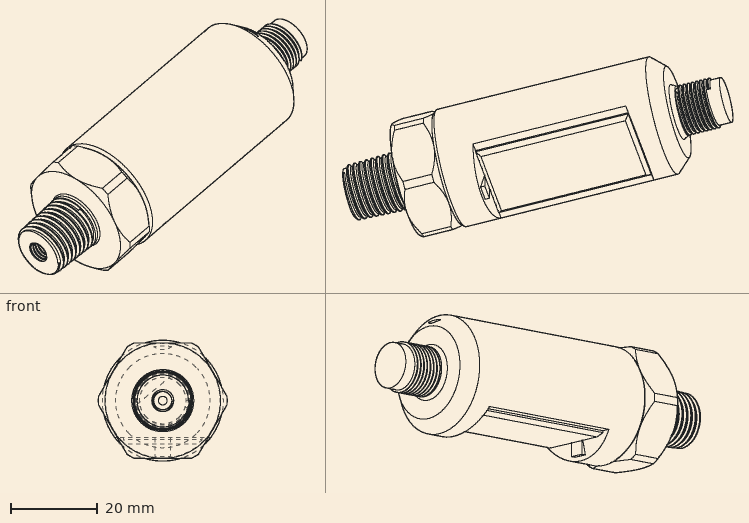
import cadquery as cq
import math


length = 90.8
hex_front = 13.7
hex_back = 23.8
body_front_chamfer = 0.7
cone_front = 75.6
cone_back = 79.0
flare_back = 80.2
collar_front = 88.7

body_radius = 14.0
body_edge_radius = body_radius - body_front_chamfer
cone_end_radius = 10.9
flare_front_radius = 6.5
flare_back_radius = 5.9
connector_radius = 5.4
hex_across_flats = 26.7
hex_corner_radius = 14.9
hex_chamfer = hex_corner_radius - hex_across_flats / 2

port_core_tip_radius = 5.9
port_core_base_radius = 6.4
port_ridge_height = 0.5
port_neck_length = 1.3
port_neck_radius = 6.9
port_thread_length = hex_front - port_neck_length
port_thread_span = 12.7
port_thread_turns = 9
port_pitch = port_thread_span / port_thread_turns
port_tip_chamfer = 0.4

port_collar_radius = 7.2
port_collar_length = 0.5

connector_ridge_height = 0.5
connector_pitch = 1.0

bore_radius = 2.1
bore_mouth_radius = 2.5
bore_depth = 9.1
bore_pitch = 0.8
bore_groove_depth = 0.45
bore_end_radius = 1.0
bore_point_angle = 118.0

recess_floor = 5.45
recess_front = 33.05
recess_back = 69.9
recess_wall_run = 1.3
pad_half_width = 9.1
pad_height = 1.45
pad_chamfer = 1.0
tab_width = 3.6
tab_bottom = 1.1

notch_radius = 3.5
notch_front = 77.1
notch_bottom = 11.8

ridge_half_base = 0.44
ridge_half_crest = 0.08

overlap = 0.2
no_taper = 360.0


def revolve_profile(points):
    """Turn (radius, y) points about the Y axis."""
    return cq.Workplane("XY").polyline(points).close().revolve(360, (0, 0, 0), (0, 1, 0))


def helical_ridge(start, run, pitch, root_radius, height, taper=no_taper):
    """V-shaped helical ridge along +Y, with its base sunk into the core by the overlap."""
    base_radius = root_radius - overlap
    crest_radius = root_radius + height
    half_base = ridge_half_base * pitch
    half_crest = ridge_half_crest * pitch
    path = cq.Wire.makeHelix(pitch, run, root_radius, angle=taper)
    profile = cq.Workplane("XZ").polyline([
        (base_radius, -half_base),
        (crest_radius, -half_crest),
        (crest_radius, half_crest),
        (base_radius, half_base),
    ]).close()
    ridge = profile.sweep(cq.Workplane(path), isFrenet=True)
    return ridge.rotate((0, 0, 0), (1, 0, 0), -90).translate((0, start, 0))


def make_body():
    return revolve_profile([
        (0, hex_back - overlap),
        (body_edge_radius, hex_back - overlap),
        (body_edge_radius, hex_back),
        (body_radius, hex_back + body_front_chamfer),
        (body_radius, cone_front),
        (cone_end_radius, cone_back),
        (0, cone_back),
    ])


def make_recess():
    floor_z = -body_radius + recess_floor
    cutter = (
        cq.Workplane("YZ")
        .polyline([
            (recess_front, floor_z),
            (recess_back, floor_z),
            (recess_back + recess_wall_run, -body_radius),
            (recess_front - recess_wall_run, -body_radius),
        ])
        .close()
        .extrude(body_radius, both=True)
    )
    recess_length = recess_back - recess_front
    pad = (
        cq.Workplane("XY")
        .box(2 * pad_half_width, recess_length, pad_height + overlap, centered=(True, False, False))
        .faces("<Z")
        .chamfer(pad_chamfer)
        .translate((0, recess_front, floor_z - pad_height))
    )
    tab_run = 2 * recess_wall_run
    tab = (
        cq.Workplane("XY")
        .box(tab_width, tab_run, recess_floor - tab_bottom + overlap, centered=(True, False, False))
        .translate((0, recess_front - tab_run, -body_radius + tab_bottom))
    )
    return cutter.cut(pad).cut(tab)


def make_notch():
    return (
        cq.Workplane("XZ", origin=(0, notch_front, notch_bottom + notch_radius))
        .circle(notch_radius)
        .extrude(notch_front - length)
    )


def make_hexagon():
    across_corners = hex_across_flats / math.cos(math.radians(30))
    prism = (
        cq.Workplane("XZ", origin=(0, hex_front, 0))
        .polygon(6, across_corners)
        .extrude(hex_front - hex_back)
    )
    envelope = revolve_profile([
        (0, hex_front),
        (hex_corner_radius - hex_chamfer, hex_front),
        (hex_corner_radius, hex_front + hex_chamfer),
        (hex_corner_radius, hex_back - hex_chamfer),
        (hex_corner_radius - hex_chamfer, hex_back),
        (0, hex_back),
    ])
    return prism.intersect(envelope)


def make_port():
    core = revolve_profile([
        (0, 0),
        (port_core_tip_radius, 0),
        (port_core_base_radius, port_thread_length),
        (port_neck_radius, port_thread_length),
        (port_neck_radius, hex_front + overlap),
        (0, hex_front + overlap),
    ])
    taper = math.degrees(math.atan((port_core_base_radius - port_core_tip_radius) / port_thread_length))
    ridge = helical_ridge(
        0, port_thread_length, port_pitch, port_core_tip_radius, port_ridge_height, taper
    )
    envelope = revolve_profile([
        (0, 0),
        (port_core_tip_radius + port_ridge_height - port_tip_chamfer, 0),
        (port_neck_radius, port_neck_radius - port_core_tip_radius),
        (port_neck_radius, hex_front + overlap),
        (0, hex_front + overlap),
    ])
    return core.union(ridge).intersect(envelope)


def make_port_collar():
    """Short cone that widens the port neck towards the hexagon."""
    return revolve_profile([
        (0, hex_front - port_collar_length),
        (port_neck_radius, hex_front - port_collar_length),
        (port_collar_radius, hex_front),
        (port_collar_radius, hex_front + overlap),
        (0, hex_front + overlap),
    ])


def make_connector():
    core = revolve_profile([
        (0, cone_back - overlap),
        (flare_front_radius, cone_back - overlap),
        (flare_front_radius, cone_back),
        (flare_back_radius, flare_back),
        (connector_radius, flare_back),
        (connector_radius, length),
        (0, length),
    ])
    run = collar_front - flare_back - connector_pitch / 2
    ridge = helical_ridge(flare_back, run, connector_pitch, connector_radius, connector_ridge_height)
    return core.union(ridge)


def make_bore():
    point_length = (bore_radius - bore_end_radius) / math.tan(math.radians(bore_point_angle / 2))
    drill = revolve_profile([
        (0, 0),
        (bore_mouth_radius, 0),
        (bore_radius, bore_mouth_radius - bore_radius),
        (bore_radius, bore_depth),
        (bore_end_radius, bore_depth + point_length),
        (0, bore_depth + point_length),
    ])
    groove = helical_ridge(0, bore_depth - bore_pitch, bore_pitch, bore_radius, bore_groove_depth)
    return drill.union(groove)


body = make_body().cut(make_recess()).cut(make_notch())
port = make_port()
shell = body.union(make_hexagon()).union(make_port_collar()).union(make_connector())
result = shell.union(port).cut(make_bore())